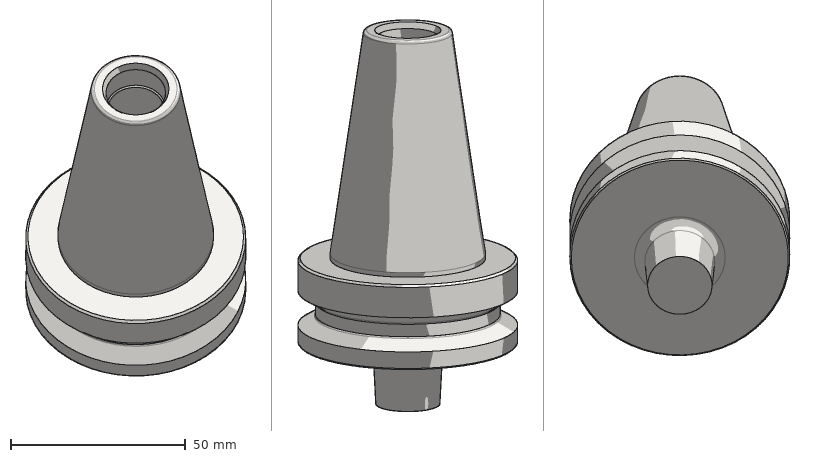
import cadquery as cq
import math

total_length = 110.4
taper_length = 66.0
taper_diameter = 44.6
taper_ratio = 7 / 24
small_end_rounding = 1.0

collar_length = 1.3
flange_diameter = 63.0
flange_bottom_depth = 26.4
flange_top_chamfer = 0.7
flange_bottom_chamfer = 0.4
groove_diameter = 53.0
groove_center_depth = 16.0
groove_floor_width = 4.3
groove_corner_fillet = 0.5
groove_wall_angle = 30.0

nose_root_diameter = 20.3
nose_tip_diameter = 18.4
nose_root_fillet = 3.0

mouth_diameter = 19.0
mouth_half_angle = 30.0
pilot_diameter = 17.0
pilot_depth = 8.8
pilot_half_angle = 45.0
thread_diameter = 16.1
thread_depth = 29.8
core_diameter = 14.0
core_depth = 35.3
drill_point_angle = 118.0

top_z = taper_length
bottom_z = top_z - total_length
small_end_radius = (taper_diameter - taper_ratio * taper_length) / 2
taper_radius = taper_diameter / 2
flange_radius = flange_diameter / 2
groove_radius = groove_diameter / 2
flange_top_z = -collar_length
flange_bottom_z = -flange_bottom_depth


def cone_height(large_diameter, small_diameter, half_angle):
    """Axial length of a cone frustum with the given half angle."""
    return (large_diameter - small_diameter) / 2 / math.tan(math.radians(half_angle))


def turned(points):
    """Solid of revolution about Z from a closed (radius, z) outline."""
    return cq.Workplane("YZ").polyline(points).close().revolve(360, (0, 0, 0), (0, 1, 0))


def make_taper():
    """Steep taper with a rounded small end, and the collar below it."""
    collar = cq.Workplane("XY").workplane(offset=flange_top_z).circle(taper_radius).extrude(collar_length)
    taper = turned([(0, 0), (taper_radius, 0), (small_end_radius, top_z), (0, top_z)])
    return collar.union(taper.faces(">Z").edges().fillet(small_end_rounding))


def make_flange():
    """Chamfered disc with the V groove turned into its rim."""
    disc = (
        cq.Workplane("XY")
        .workplane(offset=flange_bottom_z)
        .circle(flange_radius)
        .extrude(flange_top_z - flange_bottom_z)
    )
    disc = disc.faces(">Z").edges().chamfer(flange_top_chamfer)
    disc = disc.faces("<Z").edges().chamfer(flange_bottom_chamfer)

    floor_half = groove_floor_width / 2
    wall_rise = (flange_radius - groove_radius) * math.tan(math.radians(groove_wall_angle))
    rim_half = floor_half + wall_rise
    groove = turned([
        (groove_radius, -groove_center_depth - floor_half),
        (flange_radius, -groove_center_depth - rim_half),
        (flange_radius, -groove_center_depth + rim_half),
        (groove_radius, -groove_center_depth + floor_half),
    ])
    floor_corners = cq.selectors.RadiusNthSelector(0)
    groove = groove.edges("%CIRCLE").edges(floor_corners).fillet(groove_corner_fillet)
    return disc.cut(groove)


def make_nose():
    """Slightly tapered nose from the flange underside down to its tip."""
    return turned([
        (0, flange_bottom_z),
        (nose_root_diameter / 2, flange_bottom_z),
        (nose_tip_diameter / 2, bottom_z),
        (0, bottom_z),
    ])


def make_bore():
    """Countersunk pilot bore, thread bore and pointed core hole."""
    point_half_angle = drill_point_angle / 2
    mouth_z = top_z - cone_height(mouth_diameter, pilot_diameter, mouth_half_angle)
    pilot_z = top_z - pilot_depth
    thread_top_z = pilot_z - cone_height(pilot_diameter, thread_diameter, pilot_half_angle)
    thread_z = top_z - thread_depth
    core_top_z = thread_z - cone_height(thread_diameter, core_diameter, point_half_angle)
    core_z = top_z - core_depth
    point_z = core_z - cone_height(core_diameter, 0, point_half_angle)
    return turned([
        (0, top_z),
        (mouth_diameter / 2, top_z),
        (pilot_diameter / 2, mouth_z),
        (pilot_diameter / 2, pilot_z),
        (thread_diameter / 2, thread_top_z),
        (thread_diameter / 2, thread_z),
        (core_diameter / 2, core_top_z),
        (core_diameter / 2, core_z),
        (0, point_z),
    ])


def round_nose_root(body):
    """Fillet the corner where the nose meets the flange underside."""
    reach = nose_root_diameter
    margin = 0.1
    nose_root = cq.selectors.BoxSelector(
        (-reach, -reach, flange_bottom_z - margin),
        (reach, reach, flange_bottom_z + margin),
        boundingbox=True,
    )
    return body.edges(nose_root).fillet(nose_root_fillet)


flange_and_nose = round_nose_root(make_flange().union(make_nose()))
result = flange_and_nose.union(make_taper()).cut(make_bore())